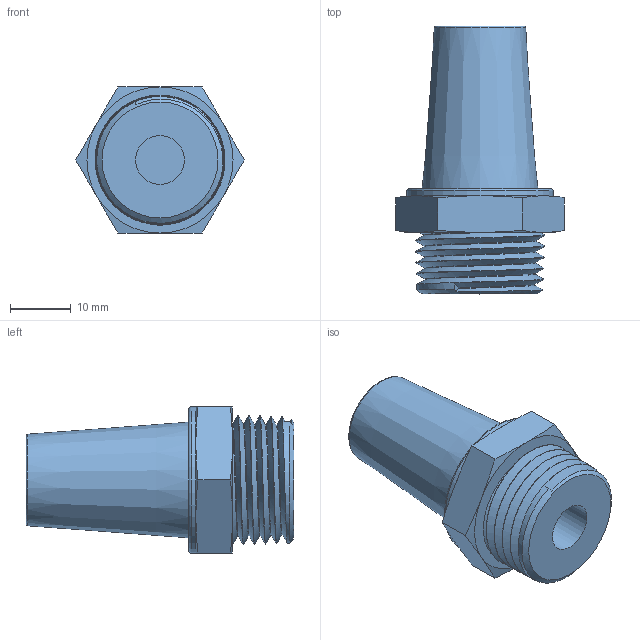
import cadquery as cq
import math


total_length = 44.0
thread_length = 10.1
hex_height = 6.0
collar_height = 1.2
hex_end = thread_length + hex_height
collar_end = hex_end + collar_height

across_flats = 24.0
across_corners = across_flats / math.cos(math.radians(30))
corner_bevel_angle = 10.0
collar_diameter = across_flats
collar_fillet = 0.4

body_base_diameter = 19.0
body_tip_diameter = 15.0
body_tip_fillet = 0.3

bore_diameter = 8.0
bore_depth = 40.0

thread_pitch = 25.4 / 14
radius_taper = 1 / 32
taper_angle = math.degrees(math.atan(radius_taper))
thread_front_radius = 10.38
thread_lead_in_length = 0.7
thread_lead_in_radius = 9.52
groove_depth = 1.42
groove_half_angle = 30.0
crest_width = 0.02
groove_start_height = thread_pitch / 2
groove_start_angle = 246.4
groove_clearance = 0.03

profile_plane = cq.Plane(origin=(0, 0, 0), xDir=(0, -1, 0), normal=(-1, 0, 0))


def cone_radius(height):
    """Crest radius of the tapered thread at a height above the threaded face."""
    return thread_front_radius + height * radius_taper


def make_thread_blank():
    """Tapered plug with a bevelled lead-in, overlong so that the groove ends inside it."""
    blank_length = thread_length + 2 * thread_pitch
    outline = [
        (0, 0),
        (thread_lead_in_radius, 0),
        (cone_radius(thread_lead_in_length), thread_lead_in_length),
        (cone_radius(blank_length), blank_length),
        (0, blank_length),
    ]
    return cq.Workplane(profile_plane).polyline(outline).close().revolve(360, (0, 0), (0, 1))


def make_thread_groove():
    """V groove wound up the taper, starting abruptly near the threaded face."""
    start_radius = cone_radius(groove_start_height)
    root_radius = start_radius - groove_depth
    outer_radius = start_radius + groove_clearance
    mouth_half = (thread_pitch - crest_width) / 2
    root_half = mouth_half - groove_depth * math.tan(math.radians(groove_half_angle))
    profile = [
        (root_radius, groove_start_height - root_half),
        (outer_radius, groove_start_height - mouth_half),
        (outer_radius, groove_start_height + mouth_half),
        (root_radius, groove_start_height + root_half),
    ]
    groove_height = thread_length + thread_pitch / 2
    helix = cq.Wire.makeHelix(
        thread_pitch,
        groove_height,
        start_radius,
        cq.Vector(0, 0, groove_start_height),
        angle=taper_angle,
    )
    groove = cq.Workplane("XZ").polyline(profile).close().sweep(cq.Workplane(helix), isFrenet=True)
    return groove.rotate((0, 0, 0), (0, 0, 1), groove_start_angle)


def make_thread():
    """Grooved plug cut off flush with the hexagon."""
    stub = cq.Workplane("XY").circle(across_flats / 2).extrude(thread_length)
    return make_thread_blank().cut(make_thread_groove()).intersect(stub)


def make_hexagon():
    """Hexagon with the corners of both faces bevelled."""
    base = cq.Workplane("XY").workplane(offset=thread_length)
    prism = base.polygon(6, across_corners).extrude(hex_height)
    flat_radius = across_flats / 2
    corner_radius = across_corners / 2
    bevel_drop = (corner_radius - flat_radius) * math.tan(math.radians(corner_bevel_angle))
    envelope_outline = [
        (0, thread_length),
        (flat_radius, thread_length),
        (corner_radius, thread_length + bevel_drop),
        (corner_radius, hex_end - bevel_drop),
        (flat_radius, hex_end),
        (0, hex_end),
    ]
    envelope = cq.Workplane(profile_plane).polyline(envelope_outline).close().revolve(360, (0, 0), (0, 1))
    return prism.intersect(envelope)


def make_collar():
    """Round collar behind the hexagon."""
    disc = cq.Workplane("XY").workplane(offset=hex_end).circle(collar_diameter / 2).extrude(collar_height)
    return disc.faces(">Z").edges().fillet(collar_fillet)


def make_body():
    """Conical body with a rounded tip."""
    outline = [
        (0, collar_end),
        (body_base_diameter / 2, collar_end),
        (body_tip_diameter / 2, total_length),
        (0, total_length),
    ]
    cone = cq.Workplane(profile_plane).polyline(outline).close().revolve(360, (0, 0), (0, 1))
    return cone.faces(">Z").edges().fillet(body_tip_fillet)


def make_bore():
    """Blind bore from the threaded face."""
    return cq.Workplane("XY").circle(bore_diameter / 2).extrude(bore_depth)


thread = make_thread()
silencer = thread.union(make_hexagon()).union(make_collar()).union(make_body()).cut(make_bore())
result = silencer.rotate((0, 0, 0), (1, 0, 0), -90)